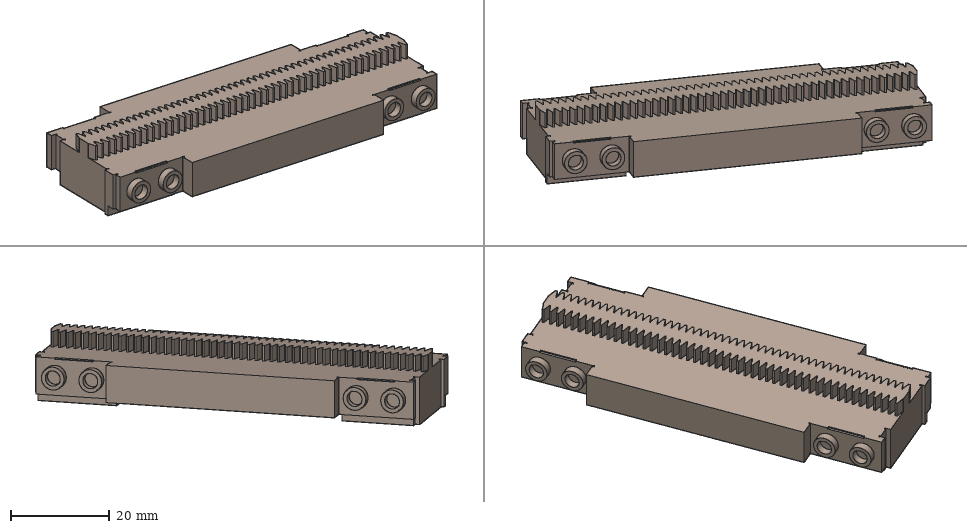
import cadquery as cq

TOTAL_LENGTH = 81.2
BODY_HALF_WIDTH = 12.7
BODY_HALF_LENGTH = 40.0
BODY_HEIGHT = 7.8
WING_HALF_WIDTH = 15.9
WING_HALF_LENGTH = 24.2
FOOT_HALF_WIDTH = 9.25
FOOT_HEIGHT = 2.2
FOOT_INNER_Y = 23.9

TAB_INNER_X = 8.1
TAB_OUTER_X = 11.0
TAB_LENGTH = TOTAL_LENGTH / 2 - BODY_HALF_LENGTH
SOCKET_CLEARANCE = 0.1
SOCKET_DEPTH = 1.0
RELIEF_WIDTH = 0.2
TAB_RELIEF_DEPTH = 0.5
SOCKET_RELIEF_DEPTH = 0.3
WING_RELIEF_DEPTH = 0.3

RACK_HEIGHT = 3.25
RACK_TIP_X = 3.4
RACK_ROOT_X = 1.55
TOOTH_COUNT = 50
TOOTH_PITCH = 2 * BODY_HALF_LENGTH / TOOTH_COUNT
TOOTH_TIP_WIDTH = 0.4
TOOTH_ROOT_GAP = 0.2

PIN_DIAMETER = 4.8
PIN_BORE = 3.2
PIN_END_X = 14.4
PIN_BORE_DEPTH = PIN_END_X - BODY_HALF_WIDTH
PIN_INNER_Y = 28.0
PIN_OUTER_Y = 36.0
PIN_Z = -BODY_HEIGHT / 2

STEP_WIDTH = 0.5
STEP_DEPTH = 0.25

FULL_DEPTH = BODY_HEIGHT + FOOT_HEIGHT


def block(x0, x1, y0, y1, z0, z1):
    """Box between two opposite corners."""
    return cq.Workplane("XY").box(x1 - x0, y1 - y0, z1 - z0, centered=False).translate((x0, y0, z0))


def full_block(x0, x1, y0, y1):
    """Box over the whole depth below the top face of the body."""
    return block(x0, x1, y0, y1, -FULL_DEPTH, 0)


def both_ends(shape):
    """The shape together with its half-turn copy about Z."""
    return shape.union(shape.rotate((0, 0, 0), (0, 0, 1), 180))


def four_corners(shape):
    """The shape mirrored to all four corners of the body."""
    pair = shape.union(shape.mirror("YZ"))
    return pair.union(pair.mirror("XZ"))


def end_cuts():
    """Socket with relieved corners and tab-side reliefs, at the +Y end."""
    end = BODY_HALF_LENGTH
    floor = end - SOCKET_DEPTH
    inner = TAB_INNER_X - SOCKET_CLEARANCE
    outer = TAB_OUTER_X + SOCKET_CLEARANCE
    cuts = full_block(inner, outer, floor, end)
    for x in (inner, outer - RELIEF_WIDTH):
        cuts = cuts.union(full_block(x, x + RELIEF_WIDTH, floor - SOCKET_RELIEF_DEPTH, floor))
    for x in (-TAB_OUTER_X - RELIEF_WIDTH, -TAB_INNER_X):
        cuts = cuts.union(full_block(x, x + RELIEF_WIDTH, end - TAB_RELIEF_DEPTH, end))
    return cuts


def plan_body():
    """Full-depth narrow body with tabs, sockets and reliefs."""
    plan = full_block(-BODY_HALF_WIDTH, BODY_HALF_WIDTH, -BODY_HALF_LENGTH, BODY_HALF_LENGTH)
    plan = plan.cut(both_ends(end_cuts()))
    tab = full_block(-TAB_OUTER_X, -TAB_INNER_X, BODY_HALF_LENGTH, BODY_HALF_LENGTH + TAB_LENGTH)
    return plan.union(both_ends(tab))


def body():
    """Narrow body with side wings and a foot below each end."""
    wings = block(-WING_HALF_WIDTH, WING_HALF_WIDTH, -WING_HALF_LENGTH, WING_HALF_LENGTH, -BODY_HEIGHT, 0)
    end_y = TOTAL_LENGTH / 2
    upper = block(-BODY_HALF_WIDTH, BODY_HALF_WIDTH, -end_y, end_y, -BODY_HEIGHT, 0)
    foot = block(-FOOT_HALF_WIDTH, FOOT_HALF_WIDTH, FOOT_INNER_Y, end_y, -FULL_DEPTH, -BODY_HEIGHT)
    return plan_body().intersect(upper.union(both_ends(foot))).union(wings)


def wing_reliefs():
    """Corner reliefs cut into the wing end faces beside the body."""
    half_width = RELIEF_WIDTH / 2
    return four_corners(
        full_block(
            BODY_HALF_WIDTH - half_width,
            BODY_HALF_WIDTH + half_width,
            WING_HALF_LENGTH - WING_RELIEF_DEPTH,
            WING_HALF_LENGTH,
        )
    )


def edge_steps():
    """Shallow steps in the top side edges, one between the pins of each pair."""
    return four_corners(block(BODY_HALF_WIDTH - STEP_WIDTH, BODY_HALF_WIDTH,
                              PIN_INNER_Y, PIN_OUTER_Y, -STEP_DEPTH, 0))


def side_cylinders(diameter, x0, x1):
    """Cylinders along X at every pin position, between two distances from the YZ plane."""
    pair = (
        cq.Workplane("YZ", origin=(x0, 0, PIN_Z))
        .pushPoints([(PIN_INNER_Y, 0), (PIN_OUTER_Y, 0)])
        .circle(diameter / 2)
        .extrude(x1 - x0)
    )
    return four_corners(pair)


def rack():
    """Straight bar with trapezoidal teeth on both sides, a half gap at each end."""
    half_gap = TOOTH_ROOT_GAP / 2
    half_tip = TOOTH_TIP_WIDTH / 2
    right = [(RACK_ROOT_X, -BODY_HALF_LENGTH)]
    for i in range(TOOTH_COUNT):
        start = -BODY_HALF_LENGTH + i * TOOTH_PITCH
        middle = start + TOOTH_PITCH / 2
        right += [
            (RACK_ROOT_X, start + half_gap),
            (RACK_TIP_X, middle - half_tip),
            (RACK_TIP_X, middle + half_tip),
            (RACK_ROOT_X, start + TOOTH_PITCH - half_gap),
        ]
    right.append((RACK_ROOT_X, BODY_HALF_LENGTH))
    left = [(-x, y) for x, y in reversed(right)]
    return cq.Workplane("XY").polyline(right + left).close().extrude(RACK_HEIGHT)


result = body().cut(wing_reliefs()).cut(edge_steps())
result = result.union(side_cylinders(PIN_DIAMETER, BODY_HALF_WIDTH, PIN_END_X))
result = result.cut(side_cylinders(PIN_BORE, PIN_END_X - PIN_BORE_DEPTH, PIN_END_X))
result = result.union(rack())